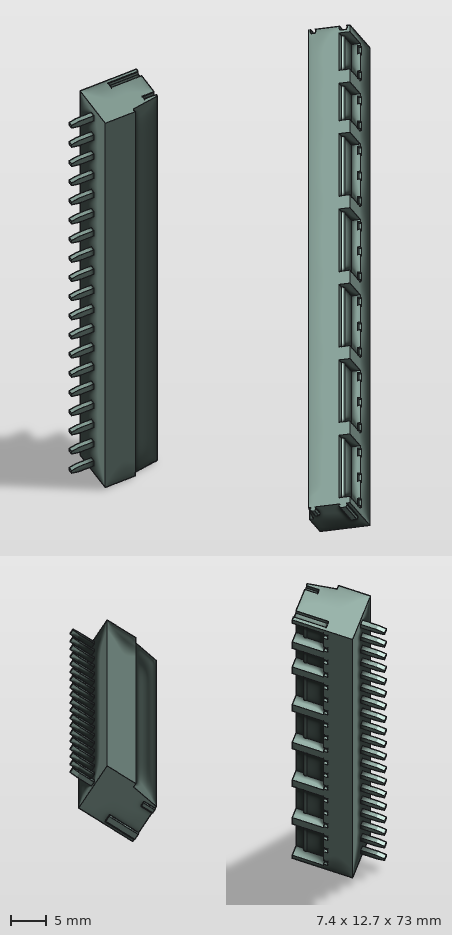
import cadquery as cq

pole_count = 19
body_width = 7.4
body_depth = 9.05
body_height = 72.35
pole_pitch = body_height / pole_count
shoulder_drop = 4.2
flank_foot_x = 6.8
flank_top_x = 6.1

pin_length = 3.6
pin_width = 0.7
pin_height = 1.0
pin_tip_height = 0.5
pin_taper_length = 1.2

poles_per_bay = [2, 2, 3, 3, 3, 3, 3]
bay_top_margin = 1.0
bay_bottom_margin = 0.95
bay_length = 4.7
bay_floor = 1.3
ledge_floor = 1.6
ledge_length = 1.1
bead_width = 0.65
bead_crest = 1.25

pocket_length = 0.65
pocket_height = 1.2
pocket_floor = 0.45

overall_height = 72.95
tongue_height = overall_height - body_height
tongues = [
    (1.0, 1.0, 1.25, 0.9, 4.9),
    (5.5, 0.65, 0.9, 0.5, 1.9),
]


def pole_z(pole):
    """Height of the centre of a pole, counted from the top."""
    return body_height - (pole + 0.5) * pole_pitch


def make_body():
    shoulder_y = body_depth - shoulder_drop
    outline = [
        (0, 0),
        (body_width, 0),
        (body_width, shoulder_y),
        (flank_foot_x, shoulder_y),
        (flank_top_x, body_depth),
        (0, body_depth),
    ]
    return cq.Workplane("XY").polyline(outline).close().extrude(body_height)


def make_bay(top_z, bottom_z):
    """Recess open at the back, with a rounded bead between its main floor and the deeper ledge."""
    bead_back = body_depth - ledge_length
    bead_front = bead_back - bead_width
    bay_front = body_depth - bay_length
    outline = (
        cq.Workplane("XY")
        .workplane(offset=bottom_z)
        .moveTo(0, body_depth)
        .lineTo(ledge_floor, body_depth)
        .lineTo(ledge_floor, bead_back)
        .threePointArc((bead_crest, (bead_back + bead_front) / 2), (bay_floor, bead_front))
        .lineTo(bay_floor, bay_front)
        .lineTo(0, bay_front)
        .close()
    )
    return outline.extrude(top_z - bottom_z)


def make_pocket(z):
    front = body_depth - bay_length - pocket_length
    block = cq.Workplane("XY").box(pocket_floor, pocket_length, pocket_height, centered=(False, False, True))
    return block.translate((0, front, z))


def make_pin(z):
    """Flat pin rooted in the front face, its tip tapered in height."""
    taper_y = pin_taper_length - pin_length
    outline = [
        (0, pin_height / 2),
        (taper_y, pin_height / 2),
        (-pin_length, pin_tip_height / 2),
        (-pin_length, -pin_tip_height / 2),
        (taper_y, -pin_height / 2),
        (0, -pin_height / 2),
    ]
    blade = cq.Workplane("YZ").polyline(outline).close().extrude(pin_width / 2, both=True)
    return blade.translate((body_width / 2, 0, z))


def make_tongue(centre_x, neck_width, head_width, tip_width, length):
    """Bar running forward from the back face: tip at Z = 0, widest at mid height, neck at full height."""
    outline = [
        (centre_x - tip_width / 2, 0),
        (centre_x + tip_width / 2, 0),
        (centre_x + head_width / 2, tongue_height / 2),
        (centre_x + neck_width / 2, tongue_height),
        (centre_x - neck_width / 2, tongue_height),
        (centre_x - head_width / 2, tongue_height / 2),
    ]
    bar = cq.Workplane("XZ").polyline(outline).close().extrude(length)
    return bar.translate((0, body_depth, 0))


result = make_body()

first_pole = 0
for poles in poles_per_bay:
    top_z = body_height - first_pole * pole_pitch - bay_top_margin
    first_pole += poles
    bottom_z = body_height - first_pole * pole_pitch + bay_bottom_margin
    result = result.cut(make_bay(top_z, bottom_z))

for pole in range(pole_count):
    result = result.cut(make_pocket(pole_z(pole)))
    result = result.union(make_pin(pole_z(pole)))

for tongue_sizes in tongues:
    tongue = make_tongue(*tongue_sizes)
    result = result.cut(tongue.translate((0, 0, body_height - tongue_height)))
    result = result.union(tongue.translate((0, 0, -tongue_height)))